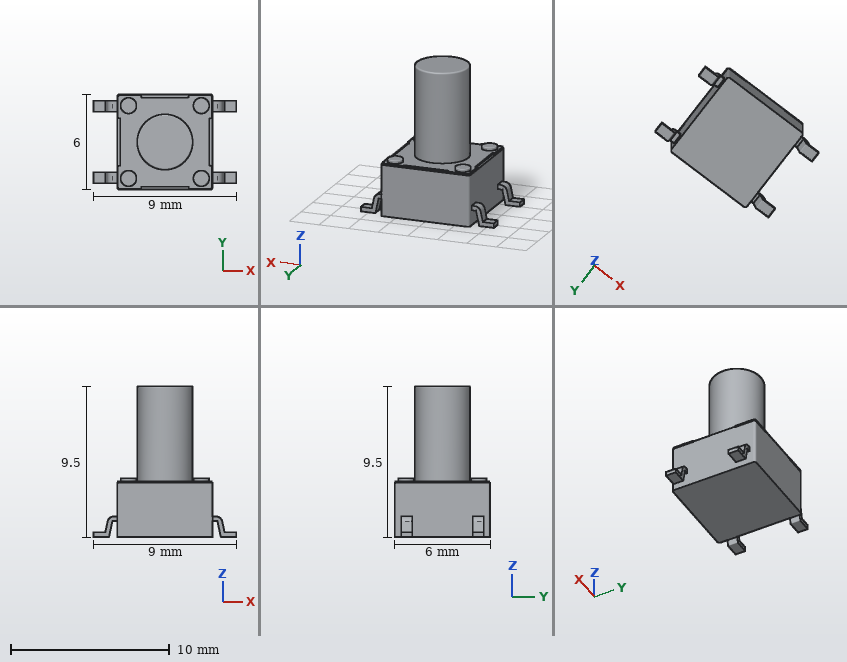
import cadquery as cq
import math

HOUSING_SIDE = 6.0
HOUSING_HEIGHT = 3.4
CORNER_RADIUS = 0.15

COVER_THICKNESS = 0.1
COVER_INSET = 0.05
COVER_SIDE = HOUSING_SIDE - 2 * COVER_INSET
COVER_TOP = HOUSING_HEIGHT + COVER_THICKNESS
NOTCH_LENGTH = HOUSING_SIDE / 2
NOTCH_DEPTH = 0.15
NOTCH_RADIUS = 0.06

RIVET_DIAMETER = 1.0
RIVET_HEIGHT = 0.2
RIVET_SPACING = 4.58
RIVET_FILLET = 0.05

TOTAL_HEIGHT = 9.5
BUTTON_DIAMETER = 3.5
BUTTON_FILLET = 0.1

LEG_SPAN = 9.0
LEG_WIDTH = 0.7
LEG_SPACING = 4.5
LEG_THICKNESS = 0.3
LEG_TOP = 1.3
LEG_LEAN = math.radians(12)
FOOT_LENGTH = 0.74
SHOULDER_RADIUS = 0.42
HEEL_RADIUS = 0.05
LEG_EMBED = 0.19


def make_housing():
    block = cq.Workplane("XY").rect(HOUSING_SIDE, HOUSING_SIDE).extrude(HOUSING_HEIGHT)
    return block.edges("|Z").fillet(CORNER_RADIUS)


def make_cover():
    plate = (
        cq.Workplane("XY", origin=(0, 0, HOUSING_HEIGHT))
        .rect(COVER_SIDE, COVER_SIDE)
        .extrude(COVER_THICKNESS)
        .edges("|Z")
        .fillet(CORNER_RADIUS - COVER_INSET)
    )
    inner_side = COVER_SIDE - 2 * NOTCH_DEPTH
    plan_centre = cq.Workplane("XY", origin=(0, 0, HOUSING_HEIGHT))
    notch_blocks = (
        plan_centre.rect(2 * COVER_SIDE, NOTCH_LENGTH).extrude(COVER_THICKNESS)
        .union(plan_centre.rect(NOTCH_LENGTH, 2 * COVER_SIDE).extrude(COVER_THICKNESS))
        .cut(plan_centre.rect(inner_side, inner_side).extrude(COVER_THICKNESS))
    )
    plate = plate.cut(notch_blocks)
    far = COVER_SIDE
    near = NOTCH_LENGTH / 2 + NOTCH_RADIUS
    x_notches = cq.selectors.BoxSelector((-far, -near, 0), (far, near, TOTAL_HEIGHT))
    y_notches = cq.selectors.BoxSelector((-near, -far, 0), (near, far, TOTAL_HEIGHT))
    return plate.edges("|Z").edges(x_notches + y_notches).fillet(NOTCH_RADIUS)


def make_disc(diameter, top, edge_fillet):
    """Upright round boss on the cover, with its upper rim rounded."""
    return (
        cq.Workplane("XY", origin=(0, 0, HOUSING_HEIGHT))
        .circle(diameter / 2)
        .extrude(top - HOUSING_HEIGHT)
        .faces(">Z")
        .edges()
        .fillet(edge_fillet)
    )


def make_leg():
    """Leg on the +X side, centred on y = 0: flat foot, leaning shank, rounded shoulder."""
    tip = LEG_SPAN / 2
    instep = tip - FOOT_LENGTH
    root = HOUSING_SIDE / 2 - LEG_EMBED
    lean = math.tan(LEG_LEAN)
    shank_width = LEG_THICKNESS / math.cos(LEG_LEAN)

    def shank_outer(z):
        return instep - (z - LEG_THICKNESS) * lean

    def shank_inner(z):
        return shank_outer(z) - shank_width

    underside = LEG_TOP - LEG_THICKNESS
    leg = (
        cq.Workplane("XZ")
        .moveTo(tip, 0)
        .lineTo(tip, LEG_THICKNESS)
        .lineTo(instep, LEG_THICKNESS)
        .lineTo(shank_outer(LEG_TOP), LEG_TOP)
        .lineTo(root, LEG_TOP)
        .lineTo(root, underside)
        .lineTo(shank_inner(underside), underside)
        .lineTo(shank_inner(0), 0)
        .close()
        .extrude(LEG_WIDTH / 2, both=True)
    )
    shoulder = cq.selectors.NearestToPointSelector((shank_outer(LEG_TOP), 0, LEG_TOP))
    heel = cq.selectors.NearestToPointSelector((shank_inner(0), 0, 0))
    leg = leg.edges("|Y").edges(shoulder).fillet(SHOULDER_RADIUS)
    return leg.edges("|Y").edges(heel).fillet(HEEL_RADIUS)


result = make_housing().union(make_cover())
result = result.union(make_disc(BUTTON_DIAMETER, TOTAL_HEIGHT, BUTTON_FILLET))

rivet = make_disc(RIVET_DIAMETER, COVER_TOP + RIVET_HEIGHT, RIVET_FILLET)
right_leg = make_leg()
left_leg = right_leg.mirror("YZ")
for side_y in (-1, 1):
    rivet_y = side_y * RIVET_SPACING / 2
    leg_y = side_y * LEG_SPACING / 2
    for side_x in (-1, 1):
        result = result.union(rivet.translate((side_x * RIVET_SPACING / 2, rivet_y, 0)))
    for leg in (left_leg, right_leg):
        result = result.union(leg.translate((0, leg_y, 0)))